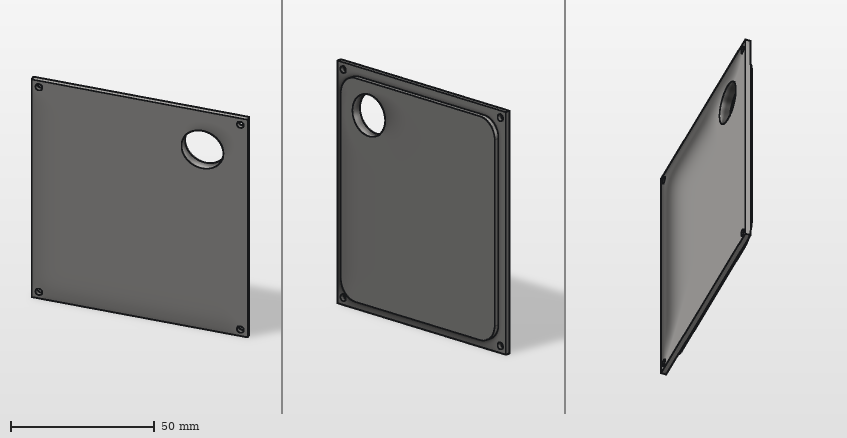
import cadquery as cq

plate_width = 80.0
plate_height = 90.0
plate_thickness = 2.0

pad_inset = 3.5
pad_thickness = 2.0
pad_corner_radius = 6.9
pad_width = plate_width - 2 * pad_inset
pad_height = plate_height - 2 * pad_inset

screw_diameter = 2.5
screw_inset = 2.7

opening_diameter = 15.5
opening_from_right = 16.7
opening_from_top = 15.8

total_thickness = plate_thickness + pad_thickness


def slab(width, height, front_y, thickness):
    """Centred upright slab growing toward +Y from its front face."""
    return cq.Workplane("XY").box(width, thickness, height).translate((0, front_y + thickness / 2, 0))


def through_cylinder(diameter, x, z):
    """Cutter along Y that spans the plate and the pad."""
    return cq.Workplane("XZ").center(x, z).circle(diameter / 2).extrude(-total_thickness)


plate = slab(plate_width, plate_height, 0, plate_thickness)
pad = slab(pad_width, pad_height, plate_thickness, pad_thickness).edges("|Y").fillet(pad_corner_radius)
result = plate.union(pad)

screw_x = plate_width / 2 - screw_inset
screw_z = plate_height / 2 - screw_inset
for side_x in (-1, 1):
    for side_z in (-1, 1):
        result = result.cut(through_cylinder(screw_diameter, side_x * screw_x, side_z * screw_z))

opening_x = plate_width / 2 - opening_from_right
opening_z = plate_height / 2 - opening_from_top
result = result.cut(through_cylinder(opening_diameter, opening_x, opening_z))